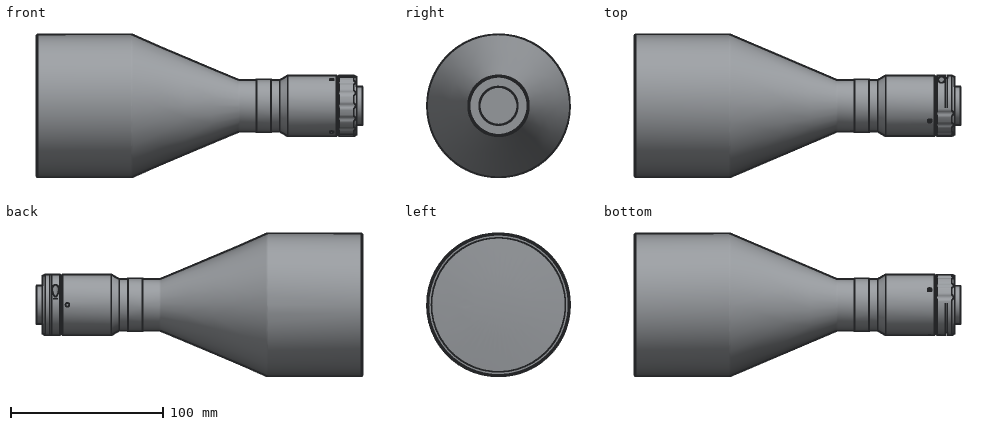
import cadquery as cq
import math


overall_length = 214.36
barrel_end_x = 62.7
neck_start_x = 133.0
collar_start_x = 144.3
collar_end_x = 154.4
flare_start_x = 159.9
flare_end_x = 165.0
grip_end_x = 197.6
mount_start_x = 198.4
thread_length = 4.0
ring_end_x = overall_length - thread_length

barrel_radius = 47.0
neck_radius = 17.05
collar_radius = 17.5
grip_radius = 20.0
thread_radius = 12.7

rim_chamfer = 1.0
barrel_fillet = 1.8
neck_fillet = 1.8
collar_chamfer = 0.4
joint_chamfer = 0.6
ring_chamfer_length = 2.0
ring_chamfer_depth = 1.0
thread_chamfer = 0.4

recess_radius = 44.0
glass_edge_x = 2.5
glass_bulge = 2.2

screw_count = 3
screw_x = 193.9
screw_diameter = 2.5
screw_depth = 2.0

flute_pitch = 25.2
flutes_each_side = 3
flute_depth = 0.65
flute_radius = 3.0
flute_edge_radius = 3.0

slit_start_x = 204.2
slit_width = 1.3
slit_depth = 1.6
clamp_hole_x = 201.7
clamp_hole_y = 17.2
clamp_hole_diameter = 4.2
clamp_hole_floor_z = 4.0


def revolve_about_x(profile):
    return profile.close().revolve(360, (0, 0, 0), (1, 0, 0))


def edge_circle_at(x, radius):
    """Selector box around the edge circle of the given radius at X = x."""
    margin = 0.01
    reach = radius + margin
    return cq.selectors.BoxSelector(
        (x - margin, -reach, -reach), (x + margin, reach, reach), boundingbox=True
    )


def make_housing():
    housing = revolve_about_x(
        cq.Workplane("XY")
        .moveTo(glass_edge_x - glass_bulge, 0)
        .threePointArc(dome_point(), (glass_edge_x, recess_radius))
        .lineTo(0, recess_radius)
        .lineTo(0, barrel_radius - rim_chamfer)
        .lineTo(rim_chamfer, barrel_radius)
        .lineTo(barrel_end_x, barrel_radius)
        .lineTo(neck_start_x, neck_radius)
        .lineTo(collar_start_x, neck_radius)
        .lineTo(collar_start_x, collar_radius - collar_chamfer)
        .lineTo(collar_start_x + collar_chamfer, collar_radius)
        .lineTo(collar_end_x - collar_chamfer, collar_radius)
        .lineTo(collar_end_x, collar_radius - collar_chamfer)
        .lineTo(collar_end_x, neck_radius)
        .lineTo(flare_start_x, neck_radius)
        .lineTo(flare_end_x, grip_radius)
        .lineTo(grip_end_x - joint_chamfer, grip_radius)
        .lineTo(grip_end_x, grip_radius - joint_chamfer)
        .lineTo(mount_start_x, grip_radius - joint_chamfer)
        .lineTo(mount_start_x, 0)
    )
    housing = housing.edges(edge_circle_at(barrel_end_x, barrel_radius)).fillet(barrel_fillet)
    housing = housing.edges(edge_circle_at(neck_start_x, neck_radius)).fillet(neck_fillet)
    for index in range(screw_count):
        housing = housing.cut(make_screw_hole(index * 360 / screw_count))
    return housing


def dome_point():
    """Point halfway along the arc of the glass, from its pole to its edge."""
    sphere_radius = (recess_radius**2 + glass_bulge**2) / (2 * glass_bulge)
    half_angle = math.asin(recess_radius / sphere_radius) / 2
    pole_x = glass_edge_x - glass_bulge
    return (
        pole_x + sphere_radius * (1 - math.cos(half_angle)),
        sphere_radius * math.sin(half_angle),
    )


def make_screw_hole(angle):
    """Radial blind hole; angle 0 is on +Y."""
    return (
        cq.Workplane("XZ", origin=(screw_x, grip_radius, 0))
        .circle(screw_diameter / 2)
        .extrude(screw_depth)
        .rotate((0, 0, 0), (1, 0, 0), angle)
    )


def make_flute():
    """Cutter for one flute at -Y: a concave arc that runs into the ring through convex shoulders."""
    flute_center = grip_radius - flute_depth + flute_radius
    shoulder_center = grip_radius - flute_edge_radius
    center_gap = flute_radius + flute_edge_radius
    shoulder_angle = math.acos(
        (flute_center**2 + shoulder_center**2 - center_gap**2) / (2 * flute_center * shoulder_center)
    )
    shoulder_y = shoulder_center * math.cos(shoulder_angle)
    shoulder_z = shoulder_center * math.sin(shoulder_angle)
    tangent_angle = math.asin(shoulder_z / center_gap)

    crest = (grip_radius * math.cos(shoulder_angle), grip_radius * math.sin(shoulder_angle))
    tangent = (
        flute_center - flute_radius * math.cos(tangent_angle),
        flute_radius * math.sin(tangent_angle),
    )
    bisector = (shoulder_angle + tangent_angle) / 2
    shoulder = (
        shoulder_y + flute_edge_radius * math.cos(bisector - tangent_angle),
        shoulder_z + flute_edge_radius * math.sin(bisector - tangent_angle),
    )

    def upper(point):
        return (-point[0], point[1])

    def lower(point):
        return (-point[0], -point[1])

    return (
        cq.Workplane("YZ", origin=(mount_start_x, 0, 0))
        .moveTo(*upper(crest))
        .threePointArc(upper(shoulder), upper(tangent))
        .threePointArc((-(grip_radius - flute_depth), 0), lower(tangent))
        .threePointArc(lower(shoulder), lower(crest))
        .lineTo(-flute_center, -crest[1])
        .lineTo(-flute_center, crest[1])
        .close()
        .extrude(ring_end_x - mount_start_x)
    )


def make_clamp_slit():
    """Cutter for a crescent slit, deepest at +Y: its floor is the ring's own circle moved toward -Y."""
    return (
        cq.Workplane("YZ", origin=(slit_start_x, 0, 0))
        .circle(grip_radius + 2 * slit_depth)
        .moveTo(-slit_depth, 0)
        .circle(grip_radius)
        .extrude(slit_width)
    )


def make_clamp_hole():
    return (
        cq.Workplane("XY", origin=(clamp_hole_x, clamp_hole_y, clamp_hole_floor_z))
        .circle(clamp_hole_diameter / 2)
        .extrude(grip_radius)
    )


def make_mount():
    mount = revolve_about_x(
        cq.Workplane("XY")
        .moveTo(mount_start_x, 0)
        .lineTo(mount_start_x, grip_radius - joint_chamfer)
        .lineTo(mount_start_x + joint_chamfer, grip_radius)
        .lineTo(ring_end_x - ring_chamfer_length, grip_radius)
        .lineTo(ring_end_x, grip_radius - ring_chamfer_depth)
        .lineTo(ring_end_x, thread_radius)
        .lineTo(overall_length - thread_chamfer, thread_radius)
        .lineTo(overall_length, thread_radius - thread_chamfer)
        .lineTo(overall_length, 0)
    )
    flute = make_flute()
    for index in range(-flutes_each_side, flutes_each_side + 1):
        mount = mount.cut(flute.rotate((0, 0, 0), (1, 0, 0), index * flute_pitch))
    return mount.cut(make_clamp_slit()).cut(make_clamp_hole())


housing = make_housing()
mount = make_mount()
result = cq.Compound.makeCompound([housing.val(), mount.val()])